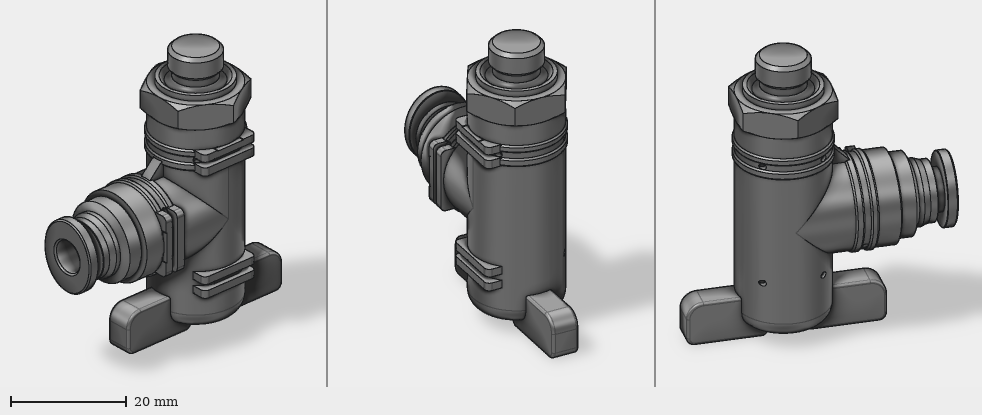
import cadquery as cq
import math

overall_height = 53.95
body_radius = 8.5
junction_z = 23.15

barrel_bottom_z = 2.1
barrel_bottom_fillet = 3.15

hex_across_corners = 19.65
hex_bottom_z = 42.0
hex_top_z = 46.95
hex_chamfer_angle = 30.0
washer_radius = 7.05
washer_top_z = 48.05
recess_rim_radius = 6.3
recess_floor_radius = 5.45
recess_depth = 0.8
stud_radius = 4.85
stud_chamfer = 0.7
stud_shoulder_z = 49.4

branch_length = 18.9

ring_height = 0.3
ring_flank = 0.3
inner_ring = (10.75, 12.35)
outer_ring = (13.5, 14.95)

rail_half_length = 6.0
rail_reach = 9.05
rail_fillet = 1.0
rail_slot_floor = 8.05
rail_recess_half_length = 2.95
rail_recess_depth = 0.15
lower_rail_near = (9.3, 10.8)
lower_rail_far = (12.05, 13.55)

dimple_diameter = 1.1
dimple_floor_radius = 7.7
dimple_offset = 5.45
upper_dimple_distance = (inner_ring[1] + outer_ring[0]) / 2
lower_dimple_distance = 10.2

gusset_width = 2.2
gusset_reach = 20.4

wing_span = 35.8
wing_width = 5.1
wing_top_z = 8.15
wing_upper_radius = 2.95
wing_lower_radius = 1.45
wing_edge_fillet = 0.5
wing_notch_half_width = 4.35

collar_radius = 7.55
collar_chamfer = 0.45
collar_end = 21.95
cap_radius = 6.05
cap_start = 22.8
cap_taper_start = 23.75
cap_taper_end = 24.9
cap_tip_radius = 5.6
cap_end = 26.35
neck_radius = 4.0
flange_start = 27.9
flange_end = 29.85
flange_width = 12.0
flange_height = 14.05
flange_chamfer = 0.25
bore_radius = 3.1
bore_chamfer = 0.3
edge_break = 0.1


def lay_along_branch(shape):
    """Turn a shape built around the upright axis so that its +Z runs along the branch axis."""
    return shape.rotate((0, 0, 0), (1, 0, 0), 90).translate((0, 0, junction_z))


def lift_to_junction(shape):
    return shape.translate((0, 0, junction_z))


def make_barrel():
    height = hex_bottom_z - barrel_bottom_z
    barrel = cq.Workplane("XY", origin=(0, 0, barrel_bottom_z)).circle(body_radius).extrude(height)
    return barrel.faces("<Z").edges().fillet(barrel_bottom_fillet)


def make_branch():
    return lay_along_branch(cq.Workplane("XY").circle(body_radius).extrude(branch_length))


def make_hexagon():
    height = hex_top_z - hex_bottom_z
    corner_radius = hex_across_corners / 2
    flat_radius = corner_radius * math.cos(math.radians(30))
    drop = (corner_radius - flat_radius) * math.tan(math.radians(hex_chamfer_angle))
    prism = (
        cq.Workplane("XY", origin=(0, 0, hex_bottom_z))
        .polygon(6, hex_across_corners)
        .extrude(height)
    )
    chamfer_envelope = (
        cq.Workplane("XZ")
        .moveTo(0, hex_bottom_z)
        .lineTo(flat_radius, hex_bottom_z)
        .lineTo(corner_radius, hex_bottom_z + drop)
        .lineTo(corner_radius, hex_top_z - drop)
        .lineTo(flat_radius, hex_top_z)
        .lineTo(0, hex_top_z)
        .close()
        .revolve(360, (0, 0, 0), (0, 1, 0))
    )
    return prism.intersect(chamfer_envelope)


def make_stud():
    """Washer face with a dished recess, undercut neck and chamfered plug."""
    stud_neck_radius = stud_radius - stud_chamfer
    recess_floor_z = washer_top_z - recess_depth
    cove_width = recess_floor_radius - stud_neck_radius
    cove_radius = (cove_width**2 + recess_depth**2) / (2 * recess_depth)
    return (
        cq.Workplane("XZ")
        .moveTo(0, hex_bottom_z)
        .lineTo(washer_radius, hex_bottom_z)
        .lineTo(washer_radius, washer_top_z)
        .lineTo(recess_rim_radius, washer_top_z)
        .lineTo(recess_floor_radius, recess_floor_z)
        .radiusArc((stud_neck_radius, washer_top_z), cove_radius)
        .lineTo(stud_neck_radius, stud_shoulder_z)
        .lineTo(stud_radius, stud_shoulder_z + stud_chamfer)
        .lineTo(stud_radius, overall_height - stud_chamfer)
        .lineTo(stud_neck_radius, overall_height)
        .lineTo(0, overall_height)
        .close()
        .revolve(360, (0, 0, 0), (0, 1, 0))
    )


def make_ring(span):
    start, end = span
    crest = body_radius + ring_height
    return (
        cq.Workplane("XZ")
        .moveTo(0, start)
        .lineTo(body_radius, start)
        .lineTo(crest, start + ring_flank)
        .lineTo(crest, end - ring_flank)
        .lineTo(body_radius, end)
        .lineTo(0, end)
        .close()
        .revolve(360, (0, 0, 0), (0, 1, 0))
    )


def make_rail(span):
    start, end = span
    return (
        cq.Workplane("XY", origin=(0, 0, start))
        .rect(rail_reach, 2 * rail_half_length)
        .extrude(end - start)
        .translate((rail_reach / 2, 0, 0))
        .edges("|Z and >X")
        .fillet(rail_fillet)
    )


def make_rail_slot(start, end):
    """Cutter that levels the floor between two neighbouring rails."""
    depth = rail_reach - rail_slot_floor
    return cq.Workplane("XY").box(
        depth, 2 * rail_half_length, end - start, centered=(False, True, False)
    ).translate((rail_slot_floor, 0, start))


def make_rail_recess(rail_end):
    """Cutter for the shallow middle recess in the outer face of the outermost rail."""
    depth = rail_reach - rail_slot_floor
    return cq.Workplane("XY").box(
        depth, 2 * rail_recess_half_length, rail_recess_depth, centered=(False, True, False)
    ).translate((rail_slot_floor, 0, rail_end - rail_recess_depth))


def make_dimple(side, offset, distance):
    """Blind cutter along X, entering from the +X or -X side down to a concentric floor."""
    bore = (
        cq.Workplane("YZ", origin=(0, offset, distance))
        .circle(dimple_diameter / 2)
        .extrude(side * body_radius)
    )
    core = (
        cq.Workplane("XY", origin=(0, 0, distance - dimple_diameter))
        .circle(dimple_floor_radius)
        .extrude(2 * dimple_diameter)
    )
    return bore.cut(core)


def make_gusset():
    """45 degree web whose sloping edge dies into the inner rings of barrel and branch."""
    buried_end = inner_ring[1]
    return (
        cq.Workplane("YZ", origin=(-gusset_width / 2, 0, junction_z))
        .moveTo(0, 0)
        .lineTo(-buried_end, 0)
        .lineTo(-buried_end, gusset_reach - buried_end)
        .lineTo(buried_end - gusset_reach, buried_end)
        .lineTo(0, buried_end)
        .close()
        .extrude(gusset_width)
    )


def make_wings():
    """Flat bar across the barrel, with a tapered notch in the middle of its lower edge."""
    outline = cq.Workplane("XY").box(wing_width, wing_span, wing_top_z, centered=(True, True, False))
    outline = outline.edges("|X and >Z").fillet(wing_upper_radius)
    outline = outline.edges("|X and <Z").fillet(wing_lower_radius)
    outline = outline.faces("<X or >X").edges().fillet(wing_edge_fillet)
    notch = (
        cq.Workplane("YZ", origin=(-wing_width / 2, 0, 0))
        .moveTo(-wing_notch_half_width, 0)
        .lineTo(wing_notch_half_width, 0)
        .lineTo(wing_notch_half_width - barrel_bottom_z, barrel_bottom_z)
        .lineTo(barrel_bottom_z - wing_notch_half_width, barrel_bottom_z)
        .close()
        .extrude(wing_width)
    )
    return outline.cut(notch)


def make_housing():
    housing = make_barrel()
    for feature in (make_branch(), make_hexagon(), make_stud(), make_gusset(), make_wings()):
        housing = housing.union(feature)

    for place in (lift_to_junction, lay_along_branch):
        for span in (inner_ring, outer_ring):
            housing = housing.union(place(make_ring(span)))
            housing = housing.union(place(make_rail(span)))
        housing = housing.cut(place(make_rail_slot(inner_ring[1], outer_ring[0])))
        housing = housing.cut(place(make_rail_recess(outer_ring[1])))

    for near, far in (lower_rail_near, lower_rail_far):
        housing = housing.union(lift_to_junction(make_rail((-far, -near))))
    housing = housing.cut(lift_to_junction(make_rail_slot(-lower_rail_far[0], -lower_rail_near[1])))

    for offset in (-dimple_offset, dimple_offset):
        for side in (-1, 1):
            housing = housing.cut(lift_to_junction(make_dimple(side, offset, upper_dimple_distance)))
        housing = housing.cut(lift_to_junction(make_dimple(-1, offset, -lower_dimple_distance)))
    for side in (-1, 1):
        housing = housing.cut(
            lay_along_branch(make_dimple(side, side * dimple_offset, upper_dimple_distance))
        )
    return housing


def make_cartridge():
    sleeve = (
        cq.Workplane("XZ")
        .moveTo(0, branch_length)
        .lineTo(collar_radius - collar_chamfer, branch_length)
        .lineTo(collar_radius, branch_length + collar_chamfer)
        .lineTo(collar_radius, collar_end)
        .lineTo(cap_radius, cap_start)
        .lineTo(cap_radius, cap_taper_start)
        .lineTo(cap_tip_radius, cap_taper_end)
        .lineTo(cap_tip_radius, cap_end - edge_break)
        .lineTo(cap_tip_radius - edge_break, cap_end)
        .lineTo(neck_radius, cap_end)
        .lineTo(neck_radius, flange_end)
        .lineTo(0, flange_end)
        .close()
        .revolve(360, (0, 0, 0), (0, 1, 0))
    )
    flange = (
        cq.Workplane("XY", origin=(0, 0, flange_start))
        .ellipse(flange_width / 2, flange_height / 2)
        .extrude(flange_end - flange_start)
        .faces(">Z")
        .edges()
        .chamfer(flange_chamfer)
        .faces("<Z")
        .edges()
        .chamfer(edge_break)
    )
    bore = (
        cq.Workplane("XY", origin=(0, 0, branch_length))
        .circle(bore_radius)
        .extrude(flange_end - branch_length)
    )
    countersink = (
        cq.Workplane("XY", origin=(0, 0, flange_end - bore_chamfer))
        .circle(bore_radius)
        .workplane(offset=bore_chamfer)
        .circle(bore_radius + bore_chamfer)
        .loft()
    )
    return lay_along_branch(sleeve.union(flange).cut(bore).cut(countersink))


housing = make_housing()
cartridge = make_cartridge()
result = cq.Compound.makeCompound([housing.solids().val(), cartridge.solids().val()])